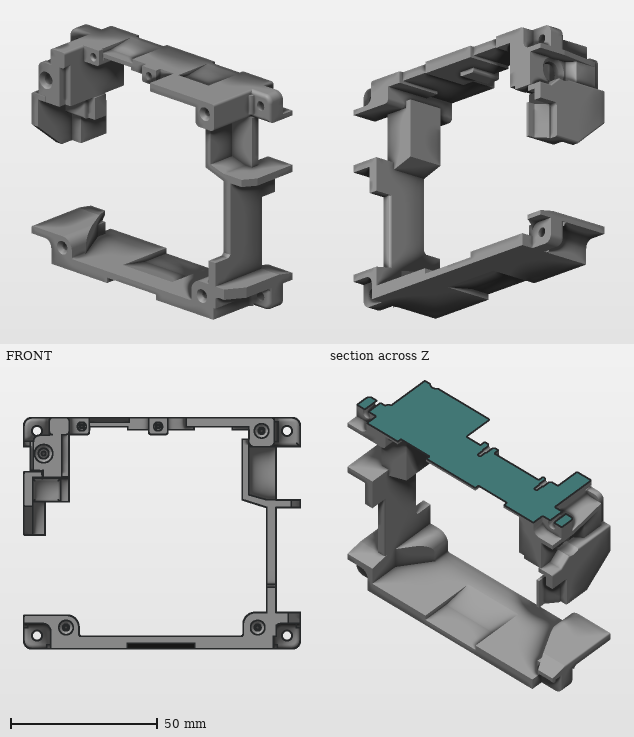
import cadquery as cq
WIDTH = 94.4
DEPTH = 29.6
TOP = 78.9

TAB_FRONT = 18.6
TAB_BACK = 24.9
TAB_CORNER_R = 2.8
TAB_EDGE_R = 1.4
TAB_OVERLAP = 1.9
TAB_HOLE_R = 1.7
TAB_HOLE_INSET = 4.5
FIN_UNDER_TAB_BOTTOM = 69.0
FIN_UNDER_TAB_TOP = 70.8
FIN_ROOT_R = 2.8
SHELF_ROOT_R = 1.1

BAR_LEFT = 8.8
BAR_RIGHT = 85.5
BAR_EDGE_R = 0.9
BAR_THIN_BOTTOM = 75.8
BAR_THICK_BOTTOM = 74.8
BAR_FRONT = 11.9
BAR_FULL_DEPTH_LEFT = 55.5
LUG_BOTTOM = 73.2
LUG_FRONT = 9.7
LUG_CORNER_R = 0.8
LEFT_LUG_RIGHT = 22.4
MIDDLE_LUG_LEFT = 42.7
MIDDLE_LUG_RIGHT = 49.2
LEG_RIGHT = 15.5
LEG_CORNER_R = 0.9
WINDOW_LEFTS = (21.9, 57.6)
WINDOW_WIDTH = 14.2
NOTCH_INSET = 0.6
WINDOW_BACK = 26.4
WINDOW_FLOOR_BACK = 16.3
WINDOW_DEPTH = 1.6
BACK_NOTCH_DEPTH = 1.6

BASE_TOP = 4.3
BASE_FLOOR_R = 0.7
HILL_R = 4.25
LEFT_HILL_RIGHT = 18.9
LEFT_HILL_TOP = 11.5
RIGHT_HILL_LEFT = 74.9
RIGHT_HILL_TOP = 12.5
TAB_ZONE_WIDTH = 9.25
TAB_ZONE_TOP = 8.7
TAB_ZONE_R = 2.9
TAB_ROOT_R = 1.4
FIN_CORNER_R = 0.6
REAR_SLOPE_FRONT = 22.9
REAR_SLOPE_DROP = 1.2
HILL_TAPER_FRONT = 5.9
LEFT_TAPER = (12.3, DEPTH)
RIGHT_TAPER = (8.0, 17.9)
JOGGLE_LEFT = 35.4
JOGGLE_RIGHT = 58.4
JOGGLE_FRONT = 7.9
JOGGLE_BACK = 19.1
JOGGLE_DROP = 2.0

POST_LEFT = 82.9
POST_RIGHT = 86.2
POST_FRONT = 7.5
POST_BACK = 23.1
POST_BACK_R = 0.85
POST_FOOT_TOP = 21.05
POST_FOOT_R = 0.9
POST_WIDE_BOTTOM = 38.7
SHELF_TOP = 50.9
SHELF_BOTTOM = 48.2
POCKET_LEFT = 74.6
POCKET_TOP = 71.6
POCKET_WALL = 2.3
POCKET_SLOPE_RISE = 1.7
POCKET_PANEL_FRONT = 18.2
POCKET_BACK = 21.4
BOSS_BOTTOM = 69.0
BOSS_R = 1.6
FIN_CUT_X = 4.2
FIN_CUT_Y = 6.6
SHELF_CUT_X = 3.0
SHELF_CUT_Y = 4.7

MODULE_LEFT = 2.3
MODULE_REAR_LEFT = 5.3
MODULE_FRONT = 2.3
RISER_FRONT = 3.0
MODULE_BOTTOM = 58.6
MODULE_REAR_BOTTOM = 57.2
SCREW_WALL_LEFT = 3.3
SCREW_WALL_RIGHT = 13.0
SCREW_WALL_TOP = 73.0
SCREW_WALL_R = 2.3
STEP_FRONT = 11.0
STEP_BACK = 13.3
SHELF_TAPER = 2.3
BORE_Y = 18.9
BORE_Z = 64.6
BORE_R = 3.6
BORE_MOUTH_R = 4.9
BORE_CONE_DEPTH = 1.3
BORE_END = 8.5
BORE_SLOPE_FRONT = 17.7
BORE_SLOPE_DEPTH = 4.3

GAP = 0.3
PLATE_THICKNESS = 3.0
PLATE_TOP = 60.5
PLATE_BOTTOM = 38.8
PLATE_REAR_TOP = 56.9
PLATE_SLOPE_FRONT = 20.5
PLATE_SLOPE_BACK = 24.8
PLATE_CUT_Y = 11.9
PLATE_CUT_TOP = 48.6
PLATE_EDGE_R = 0.6
PLATE_NOTCH_FRONT = 22.2
PLATE_NOTCH_TOP = 51.0
PLATE_NOTCH_R = 0.9
ARM_RIGHT = 6.3
ARM_BOTTOM = 58.6
BLOCK_FRONT = 13.2
BLOCK_BACK = 20.8
BLOCK_TOP = 58.15
BLOCK_BOTTOM = 50.1
BLOCK_RIGHT = 12.6
BLOCK_EDGE_R = 0.85
SIDE_BLOCK_FRONT = 15.1
RIB_RIGHT = 7.3
RIB_LEFT_BACK = 6.2
RIB_FRONT = 17.0
RIB_SLOPE_FRONT = 22.9
RIB_SLOPE_BACK = 26.8

SMALL_SCREW = (1.5, 0.85, 0.6)
LARGE_SCREW = (2.5, 1.1, 0.7)
SIDE_SCREW = (3.1, 1.8, 0.8)
SCREW_BODY_DEPTH = 3.8
SCREW_DEPTH = 6.6
LUG_SCREW_Z = 75.9
BASE_SCREW_Z = 7.3
LEFT_LUG_SCREW_X = 19.8
MIDDLE_LUG_SCREW_X = 45.9
BOSS_SCREW_X = 81.2
LEFT_BASE_SCREW_X = 14.4
RIGHT_BASE_SCREW_X = 79.9
SIDE_SCREW_X = 6.8
SIDE_SCREW_Z = 66.6


def block(x0, x1, y0, y1, z0, z1):
    """Box between two opposite corners."""
    return cq.Workplane("XY").box(x1 - x0, y1 - y0, z1 - z0, centered=False).translate((x0, y0, z0))


def along_y(points, y0, y1):
    """Prism of an XZ outline running from y0 to y1."""
    return cq.Workplane("XZ", origin=(0, y0, 0)).polyline(points).close().extrude(y0 - y1)


def along_x(points, x0, x1):
    """Prism of a YZ outline running from x0 to x1."""
    return cq.Workplane("YZ", origin=(x0, 0, 0)).polyline(points).close().extrude(x1 - x0)


def along_z(points, z0, z1):
    """Prism of an XY outline running from z0 to z1."""
    return cq.Workplane("XY", origin=(0, 0, z0)).polyline(points).close().extrude(z1 - z0)


def screw_hole(x, z, front, mouth_r, body_r, tip_r):
    """Blind stepped hole with a conical mouth, entering from the front."""
    axis = cq.Vector(0, 1, 0)
    start = cq.Vector(x, front, z)
    tip = cq.Solid.makeCylinder(tip_r, SCREW_DEPTH, start, axis)
    body = cq.Solid.makeCylinder(body_r, SCREW_BODY_DEPTH, start, axis)
    mouth = cq.Solid.makeCone(mouth_r, body_r, mouth_r - body_r, start, axis)
    return cq.Workplane(tip).union(cq.Workplane(body)).union(cq.Workplane(mouth))


def corner_tab(left, bottom, inner_width, height):
    """Bolt tab with a rounded outer corner, and its through hole."""
    x0, x1 = (0, inner_width) if left else (WIDTH - inner_width, WIDTH)
    z0, z1 = (0, height) if bottom else (TOP - height, TOP)
    tab = block(x0, x1, TAB_FRONT, TAB_BACK, z0, z1)
    side = "<X" if left else ">X"
    level = "<Z" if bottom else ">Z"
    tab = tab.edges(f"{side} and {level}").fillet(TAB_CORNER_R)
    inner = ">X" if left else "<X"
    buried = f"({inner} or >Z)" if bottom else inner
    tab = tab.faces("<Y").edges(f"not {buried}").fillet(TAB_EDGE_R)
    hole_x = TAB_HOLE_INSET if left else WIDTH - TAB_HOLE_INSET
    hole_z = TAB_HOLE_INSET if bottom else TOP - TAB_HOLE_INSET
    axis = cq.Vector(0, 1, 0)
    hole = cq.Solid.makeCylinder(TAB_HOLE_R, DEPTH, cq.Vector(hole_x, 0, hole_z), axis)
    return tab.cut(cq.Workplane(hole))


def top_bar():
    """Stepped bar with its lugs, ramped windows and end boss."""
    bar = block(LEG_RIGHT - LEG_CORNER_R, BAR_RIGHT, BAR_FRONT, DEPTH, BAR_THICK_BOTTOM, TOP)
    bar = bar.union(block(BAR_FULL_DEPTH_LEFT, BAR_RIGHT, 0, BAR_FRONT, BAR_THIN_BOTTOM, TOP))
    leg = block(BAR_LEFT, LEG_RIGHT, 0, DEPTH, LUG_BOTTOM, TOP)
    leg = leg.edges("|Y").fillet(LEG_CORNER_R)
    bar = bar.union(leg)
    for x0, x1 in ((LEG_RIGHT - LEG_CORNER_R, LEFT_LUG_RIGHT), (MIDDLE_LUG_LEFT, MIDDLE_LUG_RIGHT)):
        lug = block(x0, x1, LUG_FRONT, BAR_FRONT + LUG_FRONT, LUG_BOTTOM, TOP)
        bar = bar.union(lug.edges("|Y and <Z").fillet(LUG_CORNER_R))
    boss = block(POCKET_LEFT + POCKET_WALL, BAR_RIGHT, 0, DEPTH, BOSS_BOTTOM, TOP)
    bar = bar.union(boss.edges("|Y and <Z").fillet(BOSS_R))
    bar = bar.edges("|Y and >X and >Z").fillet(BAR_EDGE_R)
    for x0 in WINDOW_LEFTS:
        bar = bar.cut(window(x0, x0 + WINDOW_WIDTH))
    return bar


def window(x0, x1):
    """Material removed by one ramped window: top ramp, underside and back notch."""
    floor = TOP - WINDOW_DEPTH
    inner0 = x0 + NOTCH_INSET
    inner1 = x1 - NOTCH_INSET
    ramp = [(WINDOW_BACK, TOP), (WINDOW_FLOOR_BACK, floor), (BAR_FRONT, floor), (BAR_FRONT, TOP)]
    underside = block(inner0, inner1, BAR_FRONT, DEPTH, 0, BAR_THIN_BOTTOM)
    notch = block(inner0, inner1, DEPTH - BACK_NOTCH_DEPTH, DEPTH, 0, TOP)
    return along_x(ramp, x0, x1).union(underside).union(notch)


def bottom_bar():
    """Floor with a rounded hill at each end, the hills carrying the corner fins."""
    outline = (
        cq.Workplane("XZ")
        .moveTo(0, LEFT_HILL_TOP - FIN_CORNER_R)
        .radiusArc((FIN_CORNER_R, LEFT_HILL_TOP), FIN_CORNER_R)
        .lineTo(LEFT_HILL_RIGHT - HILL_R, LEFT_HILL_TOP)
        .radiusArc((LEFT_HILL_RIGHT, LEFT_HILL_TOP - HILL_R), HILL_R)
        .lineTo(LEFT_HILL_RIGHT, BASE_TOP + BASE_FLOOR_R)
        .radiusArc((LEFT_HILL_RIGHT + BASE_FLOOR_R, BASE_TOP), -BASE_FLOOR_R)
        .lineTo(RIGHT_HILL_LEFT - BASE_FLOOR_R, BASE_TOP)
        .radiusArc((RIGHT_HILL_LEFT, BASE_TOP + BASE_FLOOR_R), -BASE_FLOOR_R)
        .lineTo(RIGHT_HILL_LEFT, RIGHT_HILL_TOP - HILL_R)
        .radiusArc((RIGHT_HILL_LEFT + HILL_R, RIGHT_HILL_TOP), HILL_R)
        .lineTo(WIDTH, RIGHT_HILL_TOP)
        .lineTo(WIDTH, 0)
        .lineTo(0, 0)
        .close()
    )
    bar = outline.extrude(-DEPTH)
    for left in (True, False):
        bar = bar.cut(tab_clearance(left))
    bar = bar.cut(hill_taper(LEFT_HILL_RIGHT, -1, *LEFT_TAPER))
    bar = bar.cut(hill_taper(RIGHT_HILL_LEFT, 1, *RIGHT_TAPER))
    bar = bar.cut(rear_slope(0, LEFT_HILL_RIGHT, LEFT_HILL_TOP))
    bar = bar.cut(rear_slope(RIGHT_HILL_LEFT, WIDTH, RIGHT_HILL_TOP))
    bar = bar.cut(joggle_top()).cut(joggle_underside())
    fin_cut = [(WIDTH - FIN_CUT_X, 0), (WIDTH, 0), (WIDTH, FIN_CUT_Y)]
    return bar.cut(along_z(fin_cut, 0, RIGHT_HILL_TOP))


def tab_clearance(left):
    """Full-depth space under a fin, leaving a cove at the front of the bolt tab."""
    x0, x1 = (-TAB_OVERLAP, TAB_ZONE_WIDTH) if left else (WIDTH - TAB_ZONE_WIDTH, WIDTH + TAB_OVERLAP)
    inner = ">X" if left else "<X"
    front = block(x0, x1, -TAB_OVERLAP, TAB_FRONT, -TAB_OVERLAP, TAB_ZONE_TOP)
    front = front.edges(f"|Y and {inner} and >Z").fillet(TAB_ZONE_R)
    front = front.faces(">Y").edges().fillet(TAB_ROOT_R)
    back = block(x0, x1, TAB_FRONT, DEPTH, -TAB_OVERLAP, TAB_ZONE_TOP)
    back = back.edges(f"|Y and {inner} and >Z").fillet(TAB_ZONE_R)
    return front.union(back)


def rear_slope(x0, x1, top):
    """Wedge that lowers the top of a hill towards the back."""
    low = top - REAR_SLOPE_DROP
    return along_x([(REAR_SLOPE_FRONT, top), (DEPTH, low), (DEPTH, top)], x0, x1)


def hill_taper(foot, outward, run, back):
    """Wedge that narrows a hill towards the back."""
    far = foot - outward * BASE_FLOOR_R
    near = foot + outward * run
    end = DEPTH + TAB_OVERLAP
    points = [(far, HILL_TAPER_FRONT), (near, back), (near, end), (far, end)]
    return along_z(points, BASE_TOP, RIGHT_HILL_TOP)


def joggle_top():
    """Lowered rear half of the middle of the floor."""
    low = BASE_TOP - JOGGLE_DROP
    points = [(JOGGLE_FRONT, BASE_TOP), (JOGGLE_BACK, low), (DEPTH, low), (DEPTH, BASE_TOP)]
    return along_x(points, JOGGLE_LEFT, JOGGLE_RIGHT)


def joggle_underside():
    """Raised front half of the underside, below the middle of the floor."""
    points = [(0, 0), (0, JOGGLE_DROP), (JOGGLE_FRONT, JOGGLE_DROP), (JOGGLE_BACK, 0)]
    return along_x(points, JOGGLE_LEFT, JOGGLE_RIGHT)


def right_post():
    """Post between the bars, with the open pocket and shelf at its upper end."""
    post = block(POST_LEFT, POST_RIGHT, POST_FRONT, POST_BACK, BASE_TOP, SHELF_TOP)
    post = post.edges("|Z and <X and >Y").fillet(POST_BACK_R)
    post = post.union(block(POST_LEFT, POST_RIGHT, POST_FRONT, DEPTH, POST_WIDE_BOTTOM, SHELF_TOP))
    foot = [
        (0, BASE_TOP),
        (0, POST_FOOT_TOP),
        (POST_FRONT - POST_FOOT_R, POST_FOOT_TOP),
        (POST_FRONT, POST_FOOT_TOP + POST_FOOT_R),
        (POST_FRONT, BASE_TOP),
    ]
    post = post.union(along_x(foot, POST_LEFT, POST_RIGHT))
    inner = POCKET_LEFT + POCKET_WALL
    pocket = [
        (POCKET_LEFT, POCKET_TOP),
        (POCKET_LEFT, SHELF_TOP),
        (POST_LEFT, SHELF_BOTTOM),
        (POST_LEFT, SHELF_TOP),
        (inner, SHELF_TOP + POCKET_SLOPE_RISE),
        (inner, POCKET_TOP),
    ]
    shell = along_y(pocket, POST_FRONT, POCKET_BACK)
    shelf = block(POST_LEFT, WIDTH, POST_FRONT, DEPTH, SHELF_BOTTOM, SHELF_TOP)
    shelf_cut = [
        (WIDTH - SHELF_CUT_X, POST_FRONT),
        (WIDTH, POST_FRONT),
        (WIDTH, POST_FRONT + SHELF_CUT_Y),
    ]
    shelf = shelf.cut(along_z(shelf_cut, SHELF_BOTTOM, SHELF_TOP))
    panel = block(inner, POST_RIGHT, POCKET_PANEL_FRONT, POCKET_BACK, SHELF_TOP, BOSS_BOTTOM)
    return post.union(shell).union(shelf).union(panel)


def top_fins():
    """Thin fins below the upper bolt tabs; the left one runs on as a tapered shelf."""
    right = block(BAR_RIGHT - BOSS_R, WIDTH, TAB_BACK, DEPTH, FIN_UNDER_TAB_BOTTOM, FIN_UNDER_TAB_TOP)
    outline = [
        (0, DEPTH),
        (0, TAB_FRONT),
        (SHELF_TAPER, MODULE_FRONT),
        (BAR_LEFT, MODULE_FRONT),
        (BAR_LEFT, DEPTH),
    ]
    left = along_z(outline, FIN_UNDER_TAB_BOTTOM, FIN_UNDER_TAB_TOP)
    fins = right.union(left)
    fins = fins.union(fin_cove(BAR_LEFT, -1, FIN_ROOT_R, TAB_BACK, DEPTH))
    fins = fins.union(fin_cove(BAR_RIGHT, 1, FIN_ROOT_R, TAB_BACK, DEPTH))
    return fins.union(fin_cove(BAR_LEFT, -1, SHELF_ROOT_R, MODULE_FRONT, TAB_FRONT))


def fin_cove(wall, outward, radius, y0, y1):
    """Concave fillet between a side face of the bar and the fin below it."""
    inside = wall - outward * BAR_EDGE_R
    outline = (
        cq.Workplane("XZ", origin=(0, y0, 0))
        .moveTo(inside, FIN_UNDER_TAB_TOP)
        .lineTo(inside, FIN_UNDER_TAB_TOP + radius)
        .lineTo(wall, FIN_UNDER_TAB_TOP + radius)
        .radiusArc((wall + outward * radius, FIN_UNDER_TAB_TOP), -outward * radius)
        .close()
    )
    return outline.extrude(y0 - y1)


def tab_cove():
    """Concave fillet between the end boss and the front of the upper right tab."""
    inside = BAR_RIGHT - BAR_EDGE_R
    outline = (
        cq.Workplane("XY", origin=(0, 0, BOSS_BOTTOM + BOSS_R))
        .moveTo(inside, TAB_FRONT - TAB_ROOT_R)
        .lineTo(BAR_RIGHT, TAB_FRONT - TAB_ROOT_R)
        .radiusArc((BAR_RIGHT + TAB_ROOT_R, TAB_FRONT), -TAB_ROOT_R)
        .lineTo(BAR_RIGHT + TAB_ROOT_R, TAB_FRONT + TAB_ROOT_R)
        .lineTo(inside, TAB_FRONT + TAB_ROOT_R)
        .close()
    )
    return outline.extrude(TOP - TAB_EDGE_R - BOSS_BOTTOM - BOSS_R)


def bore():
    """Bore along X with a conical mouth; part of its end runs on as a slope."""
    axis = cq.Vector(1, 0, 0)
    face = cq.Vector(MODULE_REAR_LEFT, BORE_Y, BORE_Z)
    back = BORE_Y + BORE_R
    end = [
        (0, BORE_Y - BORE_R),
        (BORE_END, BORE_Y - BORE_R),
        (BORE_END, BORE_SLOPE_FRONT),
        (BORE_END + BORE_SLOPE_DEPTH, back),
        (0, back),
    ]
    drill = cq.Solid.makeCylinder(BORE_R, LEG_RIGHT, cq.Vector(0, BORE_Y, BORE_Z), axis)
    drill = along_z(end, BORE_Z - BORE_R, BORE_Z + BORE_R).intersect(cq.Workplane(drill))
    mouth = cq.Solid.makeCone(BORE_MOUTH_R, BORE_R, BORE_CONE_DEPTH, face, axis)
    return drill.union(cq.Workplane(mouth))


def left_module():
    """Block hanging from the left of the top bar, with screw wall, set-back rear face and bore."""
    module = block(
        MODULE_LEFT, SCREW_WALL_RIGHT, MODULE_FRONT, DEPTH, MODULE_REAR_BOTTOM, FIN_UNDER_TAB_BOTTOM
    )
    riser_top = LUG_BOTTOM + LEG_CORNER_R
    riser = block(BAR_LEFT, LEG_RIGHT, RISER_FRONT, DEPTH, MODULE_BOTTOM, riser_top)
    wall = block(SCREW_WALL_LEFT, SCREW_WALL_RIGHT, 0, MODULE_FRONT, MODULE_BOTTOM, SCREW_WALL_TOP)
    wall = wall.edges("|Y and <X and >Z").fillet(SCREW_WALL_R)
    wall = wall.union(block(BAR_LEFT, SCREW_WALL_RIGHT, 0, RISER_FRONT, MODULE_BOTTOM, LUG_BOTTOM))
    module = module.union(riser).union(wall)
    step = [
        (MODULE_LEFT, STEP_FRONT),
        (MODULE_REAR_LEFT, STEP_BACK),
        (MODULE_REAR_LEFT, DEPTH),
        (MODULE_LEFT, DEPTH),
    ]
    module = module.cut(along_z(step, MODULE_REAR_BOTTOM, FIN_UNDER_TAB_BOTTOM))
    bracket_room = [
        (0, PLATE_REAR_TOP),
        (0, PLATE_TOP + GAP),
        (PLATE_SLOPE_FRONT, PLATE_TOP + GAP),
        (PLATE_SLOPE_BACK, PLATE_REAR_TOP + GAP),
        (PLATE_SLOPE_BACK, PLATE_REAR_TOP),
    ]
    module = module.cut(along_x(bracket_room, 0, ARM_RIGHT + GAP))
    module = module.cut(block(ARM_RIGHT, LEG_RIGHT, 0, PLATE_SLOPE_BACK, 0, MODULE_BOTTOM))
    return module.cut(bore())


def frame_screws():
    """All conical-mouthed screw holes of the frame."""
    holes = screw_hole(LEFT_LUG_SCREW_X, LUG_SCREW_Z, LUG_FRONT, *SMALL_SCREW)
    holes = holes.union(screw_hole(MIDDLE_LUG_SCREW_X, LUG_SCREW_Z, LUG_FRONT, *SMALL_SCREW))
    holes = holes.union(screw_hole(BOSS_SCREW_X, TOP - TAB_HOLE_INSET, 0, *LARGE_SCREW))
    for x in (LEFT_BASE_SCREW_X, RIGHT_BASE_SCREW_X):
        holes = holes.union(screw_hole(x, BASE_SCREW_Z, 0, *LARGE_SCREW))
    return holes.union(screw_hole(SIDE_SCREW_X, SIDE_SCREW_Z, 0, *SIDE_SCREW))


def make_frame():
    """C-shaped frame: both bars, the post, the module and the four bolt tabs."""
    frame = top_bar().union(top_fins()).union(right_post()).union(bottom_bar()).union(left_module())
    frame = frame.union(tab_cove())
    for left in (True, False):
        frame = frame.union(corner_tab(left, False, BAR_LEFT + TAB_OVERLAP, TOP - FIN_UNDER_TAB_BOTTOM))
        frame = frame.union(corner_tab(left, True, TAB_ZONE_WIDTH + TAB_OVERLAP, TAB_ZONE_TOP))
    return frame.cut(frame_screws())


def make_bracket():
    """Side plate below the module, with its arm, blocks and rib."""
    profile = [
        (0, PLATE_TOP),
        (PLATE_SLOPE_FRONT, PLATE_TOP),
        (PLATE_SLOPE_BACK, PLATE_REAR_TOP),
        (DEPTH, PLATE_REAR_TOP),
        (DEPTH, PLATE_BOTTOM),
        (PLATE_CUT_Y, PLATE_BOTTOM),
        (0, PLATE_CUT_TOP),
    ]
    plate = along_x(profile, 0, PLATE_THICKNESS)
    notch = block(0, PLATE_THICKNESS, PLATE_NOTCH_FRONT, DEPTH, PLATE_BOTTOM, PLATE_NOTCH_TOP)
    plate = plate.faces("<X").edges("not |Z").fillet(PLATE_EDGE_R)
    plate = plate.cut(notch.edges("|X and <Y and >Z").fillet(PLATE_NOTCH_R))
    rear_arm_bottom = PLATE_REAR_TOP - PLATE_TOP + ARM_BOTTOM
    flange = [
        (0, ARM_BOTTOM),
        (0, PLATE_TOP),
        (PLATE_SLOPE_FRONT, PLATE_TOP),
        (PLATE_SLOPE_BACK, PLATE_REAR_TOP),
        (DEPTH, PLATE_REAR_TOP),
        (DEPTH, rear_arm_bottom),
        (PLATE_SLOPE_BACK, rear_arm_bottom),
        (PLATE_SLOPE_FRONT, ARM_BOTTOM),
    ]
    arm = along_x(flange, PLATE_THICKNESS / 2, ARM_RIGHT)
    main_block = block(PLATE_THICKNESS, BLOCK_RIGHT, BLOCK_FRONT, BLOCK_BACK, BLOCK_BOTTOM, BLOCK_TOP)
    main_block = main_block.faces("<Y").edges().fillet(BLOCK_EDGE_R)
    side_block = block(BLOCK_RIGHT, LEG_RIGHT, SIDE_BLOCK_FRONT, BLOCK_BACK, BLOCK_BOTTOM, BLOCK_TOP)
    rib_outline = [
        (PLATE_THICKNESS, RIB_FRONT),
        (PLATE_THICKNESS, RIB_SLOPE_FRONT),
        (RIB_LEFT_BACK, RIB_SLOPE_BACK),
        (RIB_LEFT_BACK, DEPTH),
        (RIB_RIGHT, DEPTH),
        (RIB_RIGHT, RIB_FRONT),
    ]
    rib = along_z(rib_outline, PLATE_BOTTOM, PLATE_NOTCH_TOP)
    bracket = plate.union(arm).union(main_block).union(side_block).union(rib)
    axis = cq.Vector(1, 0, 0)
    groove = cq.Solid.makeCylinder(BORE_MOUTH_R, BORE_END, cq.Vector(0, BORE_Y, BORE_Z), axis)
    return bracket.cut(cq.Workplane(groove))


frame = make_frame()
bracket = make_bracket()
result = cq.Compound.makeCompound([frame.val(), bracket.val()])